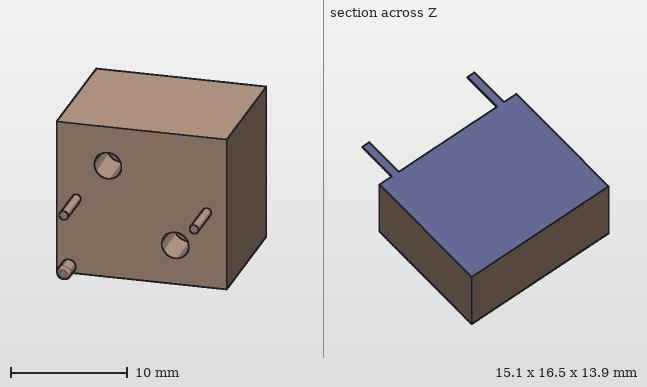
import cadquery as cq

width = 15.12
height = 13.85
total_depth = 16.54
pin_length = 4.0
housing_depth = total_depth - pin_length

pin_diameter = 0.8
pin_offset_x = 5.79

hole_diameter = 2.4
hole_depth = 4.0
hole_offset_x = 3.0
hole_offset_z = 3.34

peg_diameter = 1.24
peg_length = 1.8
peg_tip_radius = 0.3
peg_side_margin = 1.09
peg_x = -width / 2 + peg_side_margin
peg_z = -height / 2 + peg_diameter / 2


def cylinder_along_y(x, z, diameter, length):
    """Cylinder from the front face (Y = 0) towards -Y; a negative length goes into the housing."""
    return cq.Workplane("XZ").center(x, z).circle(diameter / 2).extrude(length)


housing = cq.Workplane("XY").box(width, housing_depth, height, centered=(True, False, True))

peg = cylinder_along_y(peg_x, peg_z, peg_diameter, peg_length)
peg = peg.faces("<Y").edges().fillet(peg_tip_radius)

result = housing.union(peg)

for side in (-1, 1):
    pin = cylinder_along_y(side * pin_offset_x, 0, pin_diameter, pin_length)
    hole = cylinder_along_y(side * hole_offset_x, -side * hole_offset_z, hole_diameter, -hole_depth)
    result = result.union(pin).cut(hole)